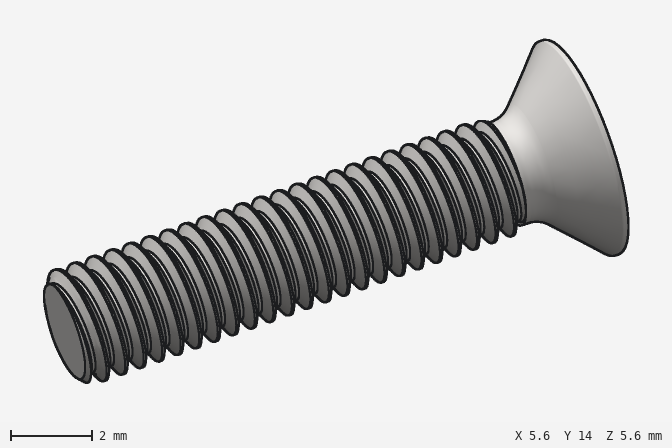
import cadquery as cq
import math

length = 14.0
head_radius = 2.8
rim_height = 0.15
rim_fillet_radius = 0.05
neck_radius = 1.33
neck_fillet_radius = 0.84
thread_start = 2.13

thread_radius = 1.5
pitches_in_length = 28
thread_pitch = length / pitches_in_length
thread_depth = 0.3
root_radius = thread_radius - thread_depth
crest_width = thread_pitch / 8
flank_angle = math.radians(30)

lead_in_radius = 1.39
lead_in_angle = math.radians(25)
tip_radius = 1.26

cone_end = rim_height + head_radius - neck_radius


def make_head():
    """Rim with rounded edges, 45 degree cone and neck, blended by a tangent arc."""
    arc_angle = math.radians(45)
    tangent_length = neck_fillet_radius * math.tan(arc_angle / 2)
    arc_center_radius = neck_radius + neck_fillet_radius
    arc_end = cone_end + tangent_length

    def arc_point(angle):
        return (
            arc_center_radius - neck_fillet_radius * math.cos(angle),
            -arc_end + neck_fillet_radius * math.sin(angle),
        )

    box_reach = 2 * rim_height
    rim_circles = cq.selectors.BoxSelector((-box_reach,) * 3, (box_reach,) * 3)
    return (
        cq.Workplane("XY")
        .moveTo(0, 0)
        .lineTo(head_radius, 0)
        .lineTo(head_radius, -rim_height)
        .lineTo(*arc_point(arc_angle))
        .threePointArc(arc_point(arc_angle / 2), arc_point(0))
        .lineTo(neck_radius, -thread_start)
        .lineTo(0, -thread_start)
        .close()
        .revolve(360, (0, 0, 0), (0, 1, 0))
        .edges(rim_circles)
        .fillet(rim_fillet_radius)
    )


def make_thread_envelope():
    """Limits of the threaded shank: a cone at the neck and a bevel at the tip, clear of the crests."""
    clearance = 0.14
    outer_radius = thread_radius + clearance
    lead_in_end = (outer_radius - lead_in_radius) / math.tan(lead_in_angle)
    return (
        cq.Workplane("XY")
        .moveTo(0, -thread_start)
        .lineTo(lead_in_radius, -thread_start)
        .lineTo(outer_radius, -thread_start - lead_in_end)
        .lineTo(outer_radius, -length + outer_radius - tip_radius)
        .lineTo(tip_radius, -length)
        .lineTo(0, -length)
        .close()
        .revolve(360, (0, 0, 0), (0, 1, 0))
    )


def make_thread_core():
    """Cylinder at the bottom of the thread, from the neck to the tip."""
    core = cq.Workplane("XZ", origin=(0, -thread_start, 0)).circle(root_radius)
    return core.extrude(length - thread_start)


def make_thread_ridge():
    """Helical ridge that overruns both ends of the shank and is sunk into the core."""
    sink = 0.03
    base_radius = root_radius - sink
    half_crest = crest_width / 2
    half_base = half_crest + (thread_radius - base_radius) * math.tan(flank_angle)

    ridge_start = -thread_pitch
    ridge_length = length - thread_start + 2 * thread_pitch
    helix = cq.Wire.makeHelix(thread_pitch, ridge_length, root_radius, cq.Vector(0, 0, ridge_start))
    ridge = (
        cq.Workplane("XZ")
        .moveTo(base_radius, ridge_start - half_base)
        .lineTo(thread_radius, ridge_start - half_crest)
        .lineTo(thread_radius, ridge_start + half_crest)
        .lineTo(base_radius, ridge_start + half_base)
        .close()
        .sweep(cq.Workplane(obj=helix), isFrenet=True)
    )
    return ridge.rotate((0, 0, 0), (1, 0, 0), -90).translate((0, -length, 0))


trimmed_ridge = make_thread_ridge().intersect(make_thread_envelope())
shank = make_thread_core().union(trimmed_ridge)
result = make_head().union(shank)